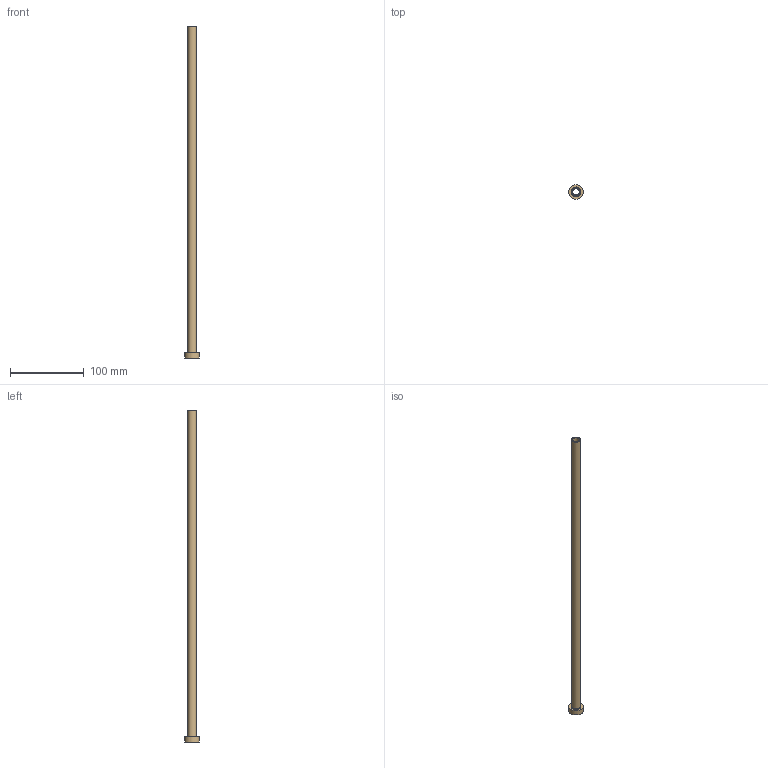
import cadquery as cq

total_length = 450.0
head_diameter = 20.0
head_height = 7.0
tube_diameter = 12.0
bore_diameter = 9.0
neck_fillet = 0.7


def cylinder(diameter, height):
    """Upright cylinder standing on the Z = 0 plane."""
    return cq.Workplane("XY").circle(diameter / 2).extrude(height)


def round_neck(body):
    """Fillet the inner edge of the head's upper face, around the tube."""
    head_top = body.faces(cq.selectors.NearestToPointSelector((0, 0, head_height)))
    return head_top.edges(cq.selectors.RadiusNthSelector(0)).fillet(neck_fillet)


head = cylinder(head_diameter, head_height)
tube = cylinder(tube_diameter, total_length)
bore = cylinder(bore_diameter, total_length)

result = round_neck(head.union(tube)).cut(bore)